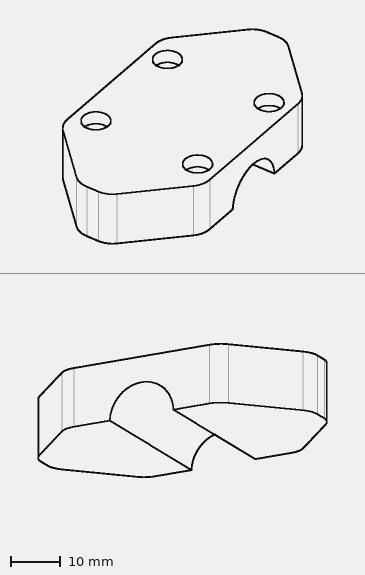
import cadquery as cq

width = 35.0
length = 63.0
height = 12.5

corner_cut = 14.0
corner_radius = 5.0

channel_radius = 7.25
channel_depth = 7.0

hole_spacing = 25.0
hole_diameter = 6.0
hole_depth = 3.0


def make_body():
    """Block with cut and rounded vertical corners, standing on Z = 0."""
    block = cq.Workplane("XY").box(width, length, height, centered=(True, True, False))
    return block.edges("|Z").chamfer(corner_cut).edges("|Z").fillet(corner_radius)


def make_channel():
    """Cylinder along X, with its axis below the bottom face so it cuts to the channel depth."""
    axis_height = channel_depth - channel_radius
    return (
        cq.Workplane("YZ")
        .center(0, axis_height)
        .circle(channel_radius)
        .extrude(width / 2, both=True)
    )


def make_holes():
    """Flat-bottomed cylinders reaching down from the top face."""
    return (
        cq.Workplane("XY")
        .workplane(offset=height - hole_depth)
        .rect(hole_spacing, hole_spacing, forConstruction=True)
        .vertices()
        .circle(hole_diameter / 2)
        .extrude(hole_depth)
    )


result = make_body().cut(make_channel()).cut(make_holes())